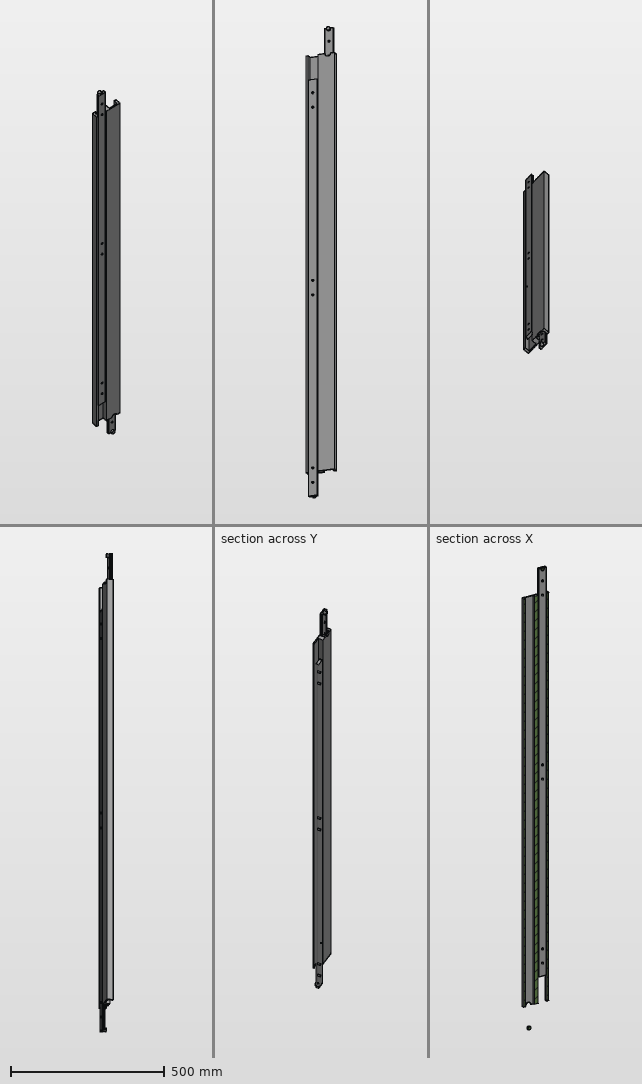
import cadquery as cq


width_x = 21.0
width_y = 100.0
member_length = 1449.0
member_bottom = 86.0
web_thickness = 4.5
lip_width = 8.0
divider_half = 8.0
notch_radius = 10.0

rail_width = 30.0
rail_length = 1448.0
rail_depth = 10.0
rail_groove_radius = 2.0
rail_offset_y = 26.0
overall_length = 1630.0
pin_overhang = 3.0
pin_radius = 7.0
hole_diameter = 7.0
hole_end_distance = 45.0
hole_pitch = 50.0

half_x = width_x / 2
half_y = width_y / 2
member_mid_z = member_bottom + member_length / 2


def x_cylinder(radius, x_start, length, y, z):
    """Cylinder with its axis along +X."""
    return cq.Workplane("YZ", origin=(x_start, y, z)).circle(radius).extrude(length)


def make_middle_member():
    body = cq.Workplane("XY", origin=(0, 0, member_mid_z)).box(width_x, width_y, member_length)
    channel_depth = width_x - web_thickness
    channel_width = half_y - lip_width - divider_half
    channel_y = divider_half + channel_width / 2
    for side in (1, -1):
        channel = cq.Workplane("XY").box(channel_depth, channel_width, member_length)
        body = body.cut(channel.translate((-side * web_thickness / 2, side * channel_y, member_mid_z)))

        web_start = half_x - web_thickness if side > 0 else -half_x
        end_z = member_mid_z - side * member_length / 2
        body = body.cut(x_cylinder(notch_radius, web_start, web_thickness, side * rail_offset_y, end_z))
    return body


def make_rail():
    """Bar rail lying flush with the -X side, with a stop pin at its lower end."""
    body = (
        cq.Workplane("XY", origin=(-half_x, 0, pin_overhang))
        .box(rail_depth, rail_width, rail_length, centered=(False, True, False))
    )
    grooves = (
        cq.Workplane("XY", origin=(rail_depth / 2 - half_x, 0, pin_overhang))
        .pushPoints([(0, rail_width / 2), (0, -rail_width / 2)])
        .circle(rail_groove_radius)
        .extrude(rail_length)
    )
    body = body.cut(grooves)

    rail_mid_z = pin_overhang + rail_length / 2
    end_pair_offset = rail_length / 2 - hole_end_distance - hole_pitch / 2
    for pair_offset in (-end_pair_offset, 0, end_pair_offset):
        for side in (-1, 1):
            hole_z = rail_mid_z + pair_offset + side * hole_pitch / 2
            body = body.cut(x_cylinder(hole_diameter / 2, -half_x, rail_depth, 0, hole_z))

    pin_start = -half_x + rail_depth / 2
    pin_length = half_x - web_thickness - pin_start
    return body.union(x_cylinder(pin_radius, pin_start, pin_length, 0, pin_radius))


def place_rails():
    """The lower rail, and the upper rail turned end for end to face +X."""
    placed = []
    for side, turn, lift in ((1, 0, 0), (-1, 180, overall_length)):
        rail = make_rail().rotate((0, 0, 0), (0, 1, 0), turn)
        placed.append(rail.translate((0, side * rail_offset_y, lift)))
    return placed


middle_member = make_middle_member()
rails = place_rails()

result = cq.Compound.makeCompound([middle_member.val(), *[rail.val() for rail in rails]])